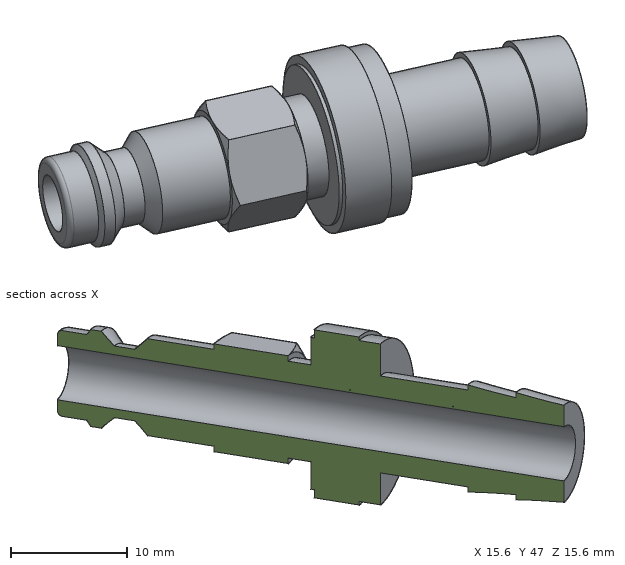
import cadquery as cq
import math


total_length = 47.0
tip_end = 2.73
collar_start = 3.1
collar_end = 4.1
groove_start = 5.3
groove_end = 7.2
body_start = 8.35
hex_start = 14.5
hex_end = 21.45
lip_start = 23.5
flange_start = 23.85
flange_step = 28.0
flange_end = 30.0
barb_length = 4.45
barb_count = 2

body_radius = 4.5
tip_radius = 4.0
tip_rounding = 0.45
groove_radius = 3.35
lip_radius = 7.05
flange_radius = 7.8
flange_step_radius = 7.45
barb_radius = 5.0
bore_radius = 2.5

hex_flats = 10.0
hex_corner_radius = hex_flats / math.sqrt(3)
hex_chamfer_angle = math.radians(30)

tip_y = -total_length / 2


def revolve_about_y(profile):
    """Turn a closed (radius, y) profile about the Y axis."""
    return profile.close().revolve(360, (0, 0, 0), (0, 1, 0))


def profile_at(points):
    """Start a profile from (radius, distance from the tip) points."""
    return cq.Workplane("XY").polyline([(radius, tip_y + station) for radius, station in points])


def make_turned_body():
    points = [
        (0, 0),
        (tip_radius, 0),
        (tip_radius, tip_end),
        (body_radius, collar_start),
        (body_radius, collar_end),
        (groove_radius, groove_start),
        (groove_radius, groove_end),
        (body_radius, body_start),
        (body_radius, lip_start),
        (lip_radius, lip_start),
        (lip_radius, flange_start),
        (flange_radius, flange_start),
        (flange_radius, flange_step),
        (flange_step_radius, flange_step),
        (flange_step_radius, flange_end),
        (body_radius, flange_end),
    ]
    barbs_start = total_length - barb_count * barb_length
    for index in range(barb_count):
        barb_start = barbs_start + index * barb_length
        points.append((body_radius, barb_start))
        points.append((barb_radius, barb_start))
    points.append((body_radius, total_length))
    points.append((0, total_length))
    return revolve_about_y(profile_at(points)).faces("<Y").edges().fillet(tip_rounding)


def make_hexagon():
    hex_length = hex_end - hex_start
    prism = (
        cq.Workplane("XZ", origin=(0, tip_y + hex_end, 0))
        .polygon(6, 2 * hex_corner_radius)
        .extrude(hex_length)
    )
    end_radius = hex_flats / 2
    chamfer_depth = (hex_corner_radius - end_radius) * math.tan(hex_chamfer_angle)
    envelope = revolve_about_y(profile_at([
        (0, hex_start),
        (end_radius, hex_start),
        (hex_corner_radius, hex_start + chamfer_depth),
        (hex_corner_radius, hex_end - chamfer_depth),
        (end_radius, hex_end),
        (0, hex_end),
    ]))
    return prism.intersect(envelope)


def make_bore():
    return cq.Workplane("XZ", origin=(0, -tip_y, 0)).circle(bore_radius).extrude(total_length)


result = make_turned_body().union(make_hexagon()).cut(make_bore())